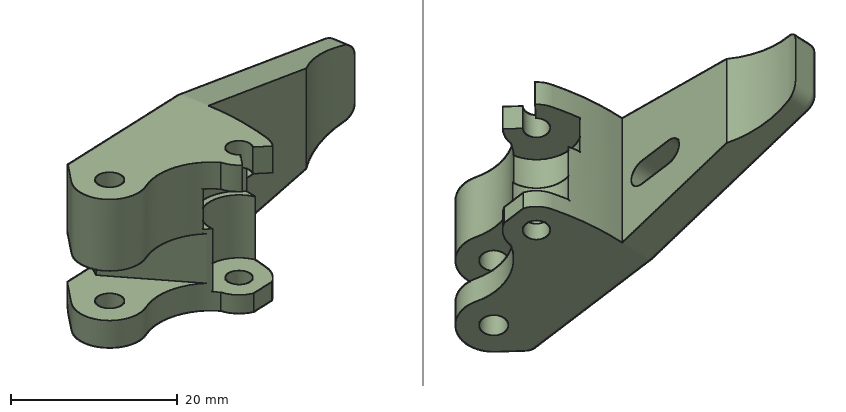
import cadquery as cq
import math

length = 55
height = 20.8
mid_height = height / 2
lug_end_x = 17.75
plate_thickness = 5.0
shoulder_y = 25.55
tip_edge_height = 10.1
corner_radius = 2.0
edge_radius = 1.0

pivot_radius = 4.6
pivot_x = 6.75
pivot_y = pivot_radius
pivot_hole_diameter = 3.5

lug_x = 14.1
lug_y = 20.25
lug_radius = 4.05
lug_hole_diameter = 3.3
mouth_angle = 90
shoulder_angle = 74
lower_lug_thickness = 2.65
upper_lug_thickness = 3.75
gap_step_z = 11.45
lower_gap_radius = 4.6
upper_gap_radius = 5.5

throat_radius = 8.25
throat_end_on_lug = -83

relief_depth = 1.85
relief_y = 51.15
relief_start_y = 44.15

notch_bottom = 3.85
notch_top = 10.8
notch_valley_x = 1.7
notch_valley_y = 8.25
notch_lip_y = 9.45
notch_angle = 31

slot_length = 8.5
slot_width = 3.85
slot_center_y = 31.45
slot_center_z = 9.25


def on_circle(x, y, radius, degrees):
    """Point on a circle at an angle measured from +X."""
    angle = math.radians(degrees)
    return x + radius * math.cos(angle), y + radius * math.sin(angle)


def direction(start, end):
    """Angle in degrees of the line from start to end."""
    return math.degrees(math.atan2(end[1] - start[1], end[0] - start[0]))


def plan_body():
    """Plate, web, pivot and lugs as one full-height prism."""
    bevel_end = on_circle(pivot_x, pivot_y, pivot_radius, 225)
    bevel_start_y = bevel_end[0] + bevel_end[1]

    throat_end = on_circle(lug_x, lug_y, lug_radius, throat_end_on_lug)
    spacing = math.hypot(throat_end[0] - pivot_x, throat_end[1] - pivot_y)
    pivot_side = pivot_radius + throat_radius
    cosine = (pivot_side**2 + spacing**2 - throat_radius**2) / (2 * pivot_side * spacing)
    end_direction = direction((pivot_x, pivot_y), throat_end)
    throat_direction = end_direction - math.degrees(math.acos(cosine))
    throat_x, throat_y = on_circle(pivot_x, pivot_y, pivot_side, throat_direction)

    throat_start = on_circle(pivot_x, pivot_y, pivot_radius, throat_direction)
    throat_end_angle = direction((throat_x, throat_y), throat_end)
    throat_middle_angle = (throat_direction + 180 + throat_end_angle) / 2
    throat_middle = on_circle(throat_x, throat_y, throat_radius, throat_middle_angle)

    flat_angle = math.degrees(math.acos((lug_end_x - lug_x) / lug_radius))
    lower_lug_angle = (throat_end_on_lug - flat_angle) / 2
    upper_lug_angle = (flat_angle + shoulder_angle) / 2

    relief_span = relief_y - relief_start_y
    relief_radius = (relief_span**2 + relief_depth**2) / (2 * relief_depth)
    relief_floor_x = plate_thickness - relief_depth
    tip_offset = math.sqrt(relief_radius**2 - (length - relief_y) ** 2)
    tip_x = relief_floor_x + relief_radius - tip_offset

    return (
        cq.Workplane("XY")
        .moveTo(0, bevel_start_y)
        .lineTo(*bevel_end)
        .threePointArc((pivot_x, pivot_y - pivot_radius), throat_start)
        .threePointArc(throat_middle, throat_end)
        .threePointArc(
            on_circle(lug_x, lug_y, lug_radius, lower_lug_angle),
            on_circle(lug_x, lug_y, lug_radius, -flat_angle),
        )
        .lineTo(*on_circle(lug_x, lug_y, lug_radius, flat_angle))
        .threePointArc(
            on_circle(lug_x, lug_y, lug_radius, upper_lug_angle),
            on_circle(lug_x, lug_y, lug_radius, shoulder_angle),
        )
        .tangentArcPoint((plate_thickness, shoulder_y), relative=False)
        .lineTo(plate_thickness, relief_start_y)
        .threePointArc((relief_floor_x, relief_y), (tip_x, length))
        .lineTo(0, length)
        .close()
        .extrude(height)
    )


def side_envelope():
    """Tapered lever outline, as seen along X, with blended corners."""
    tip_bottom = mid_height - tip_edge_height / 2
    tip_top = mid_height + tip_edge_height / 2
    return (
        cq.Workplane("YZ")
        .polyline([
            (0, 0),
            (shoulder_y, 0),
            (length, tip_bottom),
            (length, tip_top),
            (shoulder_y, height),
            (0, height),
        ])
        .close()
        .extrude(lug_end_x)
        .edges("|X and (not <Y)")
        .fillet(corner_radius)
    )


def cylinder_at(x, y, radius, bottom, top):
    return cq.Workplane("XY", origin=(x, y, bottom)).circle(radius).extrude(top - bottom)


def lug_gap():
    """Stepped round clearance between the two lugs."""
    upper_lug_bottom = height - upper_lug_thickness
    lower = cylinder_at(lug_x, lug_y, lower_gap_radius, lower_lug_thickness, gap_step_z)
    upper = cylinder_at(lug_x, lug_y, upper_gap_radius, gap_step_z, upper_lug_bottom)
    return lower.union(upper)


def lug_mouth():
    """Wedge that opens the upper lug's hole outward."""
    reach = 2 * lug_radius
    half_angle = mouth_angle / 2
    return (
        cq.Workplane("XY", origin=(0, 0, height - upper_lug_thickness))
        .moveTo(lug_x, lug_y)
        .lineTo(*on_circle(lug_x, lug_y, reach, -half_angle))
        .lineTo(*on_circle(lug_x, lug_y, reach, half_angle))
        .close()
        .extrude(upper_lug_thickness)
    )


def pivot_notch():
    """Notch that splits the pivot, with a V-shaped floor."""
    floor_rise = (lug_end_x - notch_valley_x) * math.tan(math.radians(notch_angle))
    return (
        cq.Workplane("XY", origin=(0, 0, notch_bottom))
        .polyline([
            (0, 0),
            (0, notch_lip_y),
            (notch_valley_x, notch_valley_y),
            (lug_end_x, notch_valley_y + floor_rise),
            (lug_end_x, 0),
        ])
        .close()
        .extrude(notch_top - notch_bottom)
    )


def plate_slot():
    return (
        cq.Workplane("YZ")
        .center(slot_center_y, slot_center_z)
        .slot2D(slot_length, slot_width)
        .extrude(plate_thickness)
    )


body = plan_body().intersect(side_envelope())
body = body.faces("<X").edges("not(<Y)").fillet(edge_radius)

result = (
    body
    .cut(lug_gap())
    .cut(lug_mouth())
    .cut(pivot_notch())
    .cut(plate_slot())
    .cut(cylinder_at(pivot_x, pivot_y, pivot_hole_diameter / 2, 0, height))
    .cut(cylinder_at(lug_x, lug_y, lug_hole_diameter / 2, 0, height))
)